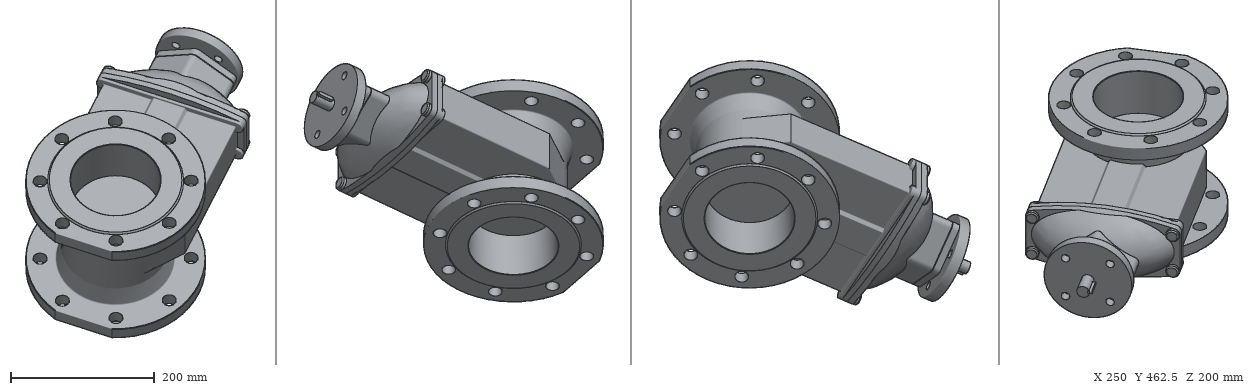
import cadquery as cq
import math


EDGE_ROUND = 0.8
JOINT_CHAMFER = 0.5

FACE_TO_FACE = 200.0
BORE_DIAMETER = 125.0
MOUTH_CHAMFER = 0.8
BORE_FLOOR_HEIGHT = 29.0
PIPE_RADIUS = 75.0
PIPE_STRAIGHT_HALF = 50.0
CONE_END_RADIUS = 82.5
CONE_FOOT_FILLET = 2.0

FLANGE_RADIUS = 125.0
FLANGE_THICKNESS = 20.0
RAISED_FACE_HEIGHT = 2.5
RAISED_FACE_RADIUS = 94.5
RAISED_FACE_CHAMFER = 2.4
FOOT_FLAT_Y = -117.5
BOLT_CIRCLE_RADIUS = 105.0
BOLT_HOLE_DIAMETER = 19.0
BOLT_COUNT = 8

CHEST_HALF_WIDTH = 99.8
CHEST_HALF_HEIGHT = 32.0
CHEST_EDGE_FILLET = 2.0
CHEST_SHOULDER_Y = 11.0
RIB_TOP_HALF_WIDTH = 23.0
RIB_BASE_HALF_WIDTH = 27.0
RIB_HALF_HEIGHT = 37.0
RIB_FILLET = 1.0

JOINT_Y = 212.0
BODY_PLATE_THICKNESS = 8.5
BONNET_PLATE_THICKNESS = 9.5
CORNER_X = 100.0
CORNER_Z = 30.0
CORNER_RADIUS = 10.0
PLATE_MID_HALF_HEIGHT = 52.0
BAR_DEPTH = 5.0
BAR_FOOT_FILLET = 0.8
LUG_DIAMETER = 19.0
LUG_HEIGHT = 6.0
LUG_CHAMFER = 2.0

DOME_HALF_WIDTH = 114.0
DOME_HALF_DEPTH = 89.0
DOME_HALF_HEIGHT = 60.0
DOME_CENTRE_DROP = 40.0
NECK_HALF_WIDTH = 59.5
NECK_HALF_HEIGHT = 39.0
NECK_CORNER_RADIUS = 10.0

NECK_JOINT_Y = 289.0
TOP_FLANGE_END_Y = 315.0
TOP_FLANGE_THICKNESS = 15.0
TOP_FLANGE_DIAMETER = 125.0
TOP_BOLT_CIRCLE_RADIUS = 45.0
TOP_HOLE_DIAMETER = 12.0
TOP_HOLE_COUNT = 4
STEM_END_Y = 345.0
STEM_DIAMETER = 18.0
KEY_END_GAP = 0.5
KEY_WIDTH = 6.0
KEY_LENGTH = 25.0
KEY_HEIGHT = 6.0
KEY_TOP_X = -12.5

SELECT_MARGIN = 0.1

half_length = FACE_TO_FACE / 2
flange_outer_z = half_length - RAISED_FACE_HEIGHT
flange_inner_z = flange_outer_z - FLANGE_THICKNESS
body_plate_y = JOINT_Y - BODY_PLATE_THICKNESS
bonnet_plate_y = JOINT_Y + BONNET_PLATE_THICKNESS
top_flange_back_y = TOP_FLANGE_END_Y - TOP_FLANGE_THICKNESS


def section_plane(y):
    """Plane across the stem axis at height y: local x is X, local y is Z, normal is -Y."""
    return cq.Workplane("XZ", origin=(0, y, 0))


def raise_from(profile, height):
    """Extrude a profile drawn on a section plane towards +Y."""
    return profile.extrude(-height)


def ring_edge(radius, z):
    """Selector for the edge of a given radius, centred on the pipe axis at height z."""
    outer = radius + SELECT_MARGIN
    return cq.selectors.BoxSelector(
        (-outer, -outer, z - SELECT_MARGIN), (outer, outer, z + SELECT_MARGIN), boundingbox=True
    )


def pipe_flange():
    """Upper flange disc with the foot flat, rounded rims and chamfered raised face."""
    below_flat = (
        cq.Workplane(origin=(0, FOOT_FLAT_Y - FLANGE_RADIUS / 2, flange_inner_z))
        .rect(2 * FLANGE_RADIUS, FLANGE_RADIUS)
        .extrude(FLANGE_THICKNESS)
    )
    disc = cq.Workplane(origin=(0, 0, flange_inner_z)).circle(FLANGE_RADIUS).extrude(FLANGE_THICKNESS)
    disc = disc.cut(below_flat).faces("<Z or >Z").edges().fillet(EDGE_ROUND)
    raised_face = (
        cq.Workplane(origin=(0, 0, flange_inner_z))
        .circle(RAISED_FACE_RADIUS)
        .extrude(half_length - flange_inner_z)
        .faces(">Z")
        .chamfer(RAISED_FACE_CHAMFER)
    )
    return disc.union(raised_face)


def pipe():
    """Turned pipe, flared at both ends, with its two flanges."""
    outline = [
        (0, -flange_inner_z),
        (CONE_END_RADIUS, -flange_inner_z),
        (PIPE_RADIUS, -PIPE_STRAIGHT_HALF),
        (PIPE_RADIUS, PIPE_STRAIGHT_HALF),
        (CONE_END_RADIUS, flange_inner_z),
        (0, flange_inner_z),
    ]
    tube = cq.Workplane("XZ").polyline(outline).close().revolve(360, (0, 0), (0, 1))
    flange = pipe_flange()
    flanged = tube.union(flange).union(flange.mirror("XY"))
    for end in (1, -1):
        flanged = flanged.edges(ring_edge(CONE_END_RADIUS, end * flange_inner_z)).fillet(CONE_FOOT_FILLET)
    return flanged


def bores_and_bolt_holes():
    """Blind bore with a chamfered mouth, and ring of bolt holes, at each end of the pipe."""
    tools = cq.Workplane()
    for end in (1, -1):
        bore = (
            cq.Workplane(origin=(0, 0, end * BORE_FLOOR_HEIGHT))
            .circle(BORE_DIAMETER / 2)
            .extrude(end * (half_length - BORE_FLOOR_HEIGHT))
        )
        mouth = (
            cq.Workplane(origin=(0, 0, end * half_length))
            .circle(BORE_DIAMETER / 2 + MOUTH_CHAMFER)
            .workplane(offset=-end * MOUTH_CHAMFER)
            .circle(BORE_DIAMETER / 2)
            .loft()
        )
        holes = (
            cq.Workplane(origin=(0, 0, end * flange_inner_z))
            .polarArray(BOLT_CIRCLE_RADIUS, 180 / BOLT_COUNT, 360, BOLT_COUNT)
            .circle(BOLT_HOLE_DIAMETER / 2)
            .extrude(end * FLANGE_THICKNESS)
        )
        tools = tools.add(bore).add(mouth).add(holes)
    return tools.combine()


def chest():
    """Flat chest whose side walls end tangent to the pipe."""
    shoulder_distance = math.hypot(CHEST_HALF_WIDTH, CHEST_SHOULDER_Y)
    tangent_angle = math.atan2(CHEST_SHOULDER_Y, CHEST_HALF_WIDTH) - math.acos(PIPE_RADIUS / shoulder_distance)
    tangent_x = PIPE_RADIUS * math.cos(tangent_angle)
    tangent_y = PIPE_RADIUS * math.sin(tangent_angle)
    outline = [
        (tangent_x, tangent_y),
        (CHEST_HALF_WIDTH, CHEST_SHOULDER_Y),
        (CHEST_HALF_WIDTH, body_plate_y),
        (-CHEST_HALF_WIDTH, body_plate_y),
        (-CHEST_HALF_WIDTH, CHEST_SHOULDER_Y),
        (-tangent_x, tangent_y),
    ]
    block = cq.Workplane().polyline(outline).close().extrude(CHEST_HALF_HEIGHT, both=True)
    long_edges = "(>Z or <Z) and (not |X)"
    return block.edges(long_edges).fillet(CHEST_EDGE_FILLET)


def chest_with_ribs():
    """Chest with a raised, rounded rib with sloping sides on each flat face."""
    outline = []
    for side in (1, -1):
        outline += [
            (-side * RIB_BASE_HALF_WIDTH, side * CHEST_HALF_HEIGHT),
            (-side * RIB_TOP_HALF_WIDTH, side * RIB_HALF_HEIGHT),
            (side * RIB_TOP_HALF_WIDTH, side * RIB_HALF_HEIGHT),
            (side * RIB_BASE_HALF_WIDTH, side * CHEST_HALF_HEIGHT),
        ]
    ribs = raise_from(section_plane(0).polyline(outline).close(), body_plate_y)
    ribs = ribs.faces(">Z or <Z").edges("|Y").fillet(RIB_FILLET)
    reach_x = RIB_BASE_HALF_WIDTH + SELECT_MARGIN
    reach_z = CHEST_HALF_HEIGHT + SELECT_MARGIN
    rib_feet = cq.selectors.BoxSelector((-reach_x, 0, -reach_z), (reach_x, body_plate_y, reach_z))
    return chest().union(ribs).edges("|Y").edges(rib_feet).fillet(RIB_FILLET)


def cover_plate(y, thickness):
    """Plate with round corners and two bowed long sides, rising from height y."""
    bow = PLATE_MID_HALF_HEIGHT - CORNER_Z
    arc_radius = (CORNER_X**2 + bow**2 - CORNER_RADIUS**2) / (2 * (bow - CORNER_RADIUS))
    angle = math.asin(CORNER_X / (arc_radius - CORNER_RADIUS))
    join_x = CORNER_X + CORNER_RADIUS * math.sin(angle)
    join_z = CORNER_Z + CORNER_RADIUS * math.cos(angle)
    mid_angle = (math.pi / 2 + angle) / 2
    mid_x = CORNER_X + CORNER_RADIUS * math.sin(mid_angle)
    mid_z = CORNER_Z + CORNER_RADIUS * math.cos(mid_angle)
    side_x = CORNER_X + CORNER_RADIUS
    outline = (
        section_plane(y)
        .moveTo(-join_x, join_z)
        .threePointArc((0, PLATE_MID_HALF_HEIGHT), (join_x, join_z))
        .threePointArc((mid_x, mid_z), (side_x, CORNER_Z))
        .lineTo(side_x, -CORNER_Z)
        .threePointArc((mid_x, -mid_z), (join_x, -join_z))
        .threePointArc((0, -PLATE_MID_HALF_HEIGHT), (-join_x, -join_z))
        .threePointArc((-mid_x, -mid_z), (-side_x, -CORNER_Z))
        .lineTo(-side_x, CORNER_Z)
        .threePointArc((-mid_x, mid_z), (-join_x, join_z))
        .close()
    )
    return raise_from(outline, thickness)


def plate_bars():
    """Two round-ended bars behind the body plate, one above and one below the chest."""
    bars = (
        section_plane(body_plate_y - BAR_DEPTH)
        .pushPoints([(0, CORNER_Z), (0, -CORNER_Z)])
        .slot2D(2 * (CORNER_X + CORNER_RADIUS), 2 * CORNER_RADIUS)
    )
    return raise_from(bars, BAR_DEPTH).faces("<Y").edges().fillet(EDGE_ROUND)


def bar_feet():
    """Selector for the straight inner edges between the chest, its ribs and the plate bars."""
    bar_end_y = body_plate_y - BAR_DEPTH
    reach_z = RIB_HALF_HEIGHT + SELECT_MARGIN
    return cq.selectors.BoxSelector(
        (-CHEST_HALF_WIDTH, bar_end_y - SELECT_MARGIN, -reach_z),
        (CHEST_HALF_WIDTH, bar_end_y + SELECT_MARGIN, reach_z),
    )


def make_body():
    return (
        pipe()
        .union(chest_with_ribs())
        .union(cover_plate(body_plate_y, BODY_PLATE_THICKNESS))
        .union(plate_bars())
        .edges(bar_feet())
        .fillet(BAR_FOOT_FILLET)
        .cut(bores_and_bolt_holes())
    )


def neck(y, height):
    """Rhombic prism with round edges, rising from height y."""
    r = NECK_CORNER_RADIUS
    tip_x = NECK_HALF_WIDTH - r
    tip_z = NECK_HALF_HEIGHT - r
    slope = math.atan2(tip_z, tip_x)
    along_x = r * math.sin(slope)
    along_z = r * math.cos(slope)
    outline = (
        section_plane(y)
        .moveTo(tip_x + along_x, -along_z)
        .threePointArc((NECK_HALF_WIDTH, 0), (tip_x + along_x, along_z))
        .lineTo(along_x, tip_z + along_z)
        .threePointArc((0, NECK_HALF_HEIGHT), (-along_x, tip_z + along_z))
        .lineTo(-tip_x - along_x, along_z)
        .threePointArc((-NECK_HALF_WIDTH, 0), (-tip_x - along_x, -along_z))
        .lineTo(-along_x, -tip_z - along_z)
        .threePointArc((0, -NECK_HALF_HEIGHT), (along_x, -tip_z - along_z))
        .close()
    )
    return raise_from(outline, height)


def dome():
    """Cap of an ellipsoid centred below the top of the bonnet plate, kept within the plate outline."""
    stretch = cq.Matrix(
        [
            [DOME_HALF_WIDTH, 0, 0, 0],
            [0, DOME_HALF_DEPTH, 0, bonnet_plate_y - DOME_CENTRE_DROP],
            [0, 0, DOME_HALF_HEIGHT, 0],
            [0, 0, 0, 1],
        ]
    )
    ellipsoid = cq.Workplane().sphere(1).val().transformGeometry(stretch)
    return cover_plate(bonnet_plate_y, DOME_HALF_DEPTH).intersect(cq.Workplane(ellipsoid))


def bolt_lugs():
    """Four chamfered round lugs on the corners of the bonnet plate."""
    corners = [(x, z) for x in (-CORNER_X, CORNER_X) for z in (-CORNER_Z, CORNER_Z)]
    circles = section_plane(bonnet_plate_y).pushPoints(corners).circle(LUG_DIAMETER / 2)
    return raise_from(circles, LUG_HEIGHT).faces(">Y").chamfer(LUG_CHAMFER)


def make_bonnet():
    return (
        cover_plate(JOINT_Y, BONNET_PLATE_THICKNESS)
        .union(dome())
        .union(neck(bonnet_plate_y, NECK_JOINT_Y - bonnet_plate_y).faces(">Y").chamfer(JOINT_CHAMFER))
        .union(bolt_lugs())
    )


def make_stem_blank():
    """Stem without its keyway, from the neck joint to the free end."""
    return raise_from(section_plane(NECK_JOINT_Y).circle(STEM_DIAMETER / 2), STEM_END_Y - NECK_JOINT_Y)


def make_top_flange():
    """Round actuator flange on a short piece of the neck, bored for the stem."""
    disc = raise_from(section_plane(top_flange_back_y).circle(TOP_FLANGE_DIAMETER / 2), TOP_FLANGE_THICKNESS)
    holes = raise_from(
        section_plane(top_flange_back_y)
        .polarArray(TOP_BOLT_CIRCLE_RADIUS, 180 / TOP_HOLE_COUNT, 360, TOP_HOLE_COUNT)
        .circle(TOP_HOLE_DIAMETER / 2),
        TOP_FLANGE_THICKNESS,
    )
    disc = disc.faces("<Y").edges().fillet(EDGE_ROUND)
    stub = neck(NECK_JOINT_Y, top_flange_back_y - NECK_JOINT_Y)
    stub = stub.faces("<Y").chamfer(JOINT_CHAMFER)
    return disc.cut(holes).union(stub).cut(make_stem_blank())


def make_key():
    """Round-ended key on the -X side of the stem."""
    centre_y = STEM_END_Y - KEY_END_GAP - KEY_LENGTH / 2
    return (
        cq.Workplane("YZ", origin=(KEY_TOP_X, centre_y, 0))
        .slot2D(KEY_LENGTH, KEY_WIDTH)
        .extrude(KEY_HEIGHT)
    )


body = make_body()
bonnet = make_bonnet()
top_flange = make_top_flange()
key = make_key()
stem = make_stem_blank().cut(key)

result = cq.Compound.makeCompound([body.val(), bonnet.val(), top_flange.val(), stem.val(), key.val()])